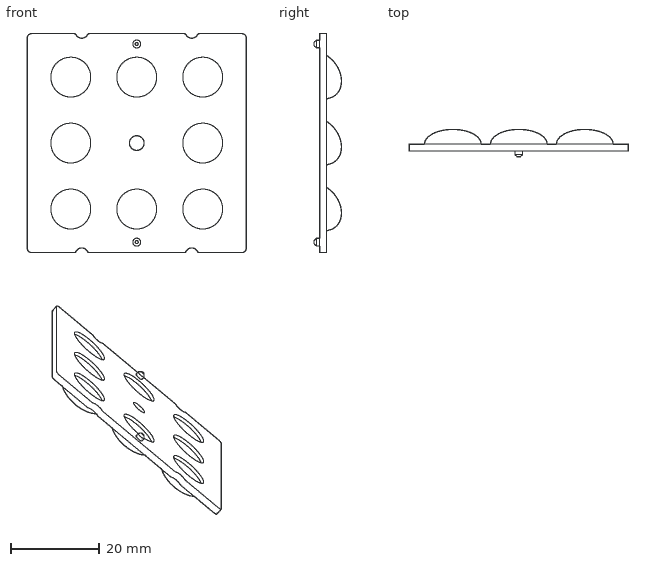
import cadquery as cq
import math

plate_side = 49.8
plate_thickness = 1.6
corner_radius = 1.0
center_hole_diameter = 3.3

notch_offset = 12.5
notch_radius = 1.5
notch_depth = 1.05
notch_lip_radius = 0.4

lens_pitch = 15.0
pocket_diameter = 9.05
pocket_depth = 0.8
dome_height = 3.4
dome_half_width = 6.45
dome_half_length = 5.0
dome_lean = 0.9
dome_taper_offset = 1.85
dome_ring_count = 8

peg_offset = 22.5
peg_radius = 0.9
peg_tip_radius = 0.35
peg_height = 1.3
peg_taper = peg_radius - peg_tip_radius

half_side = plate_side / 2
lens_positions = [
    (column * lens_pitch, row * lens_pitch)
    for column in (-1, 0, 1)
    for row in (-1, 0, 1)
    if (column, row) != (0, 0)
]


def back_facing_plane(y, z=0):
    """Plane through (0, y, z) with local x = X, local y = -Z and its normal along +Y."""
    return cq.Plane(origin=(0, y, z), xDir=(1, 0, 0), normal=(0, 1, 0))


def make_notch():
    """Cutter for a top-edge notch: a round bottom flowing into the edge through rounded lips."""
    center_z = half_side + notch_radius - notch_depth
    lip_center_z = half_side - notch_lip_radius
    center_distance = notch_radius + notch_lip_radius
    lip_x = math.sqrt(center_distance**2 - (center_z - lip_center_z) ** 2)
    sweep = math.asin(lip_x / center_distance)
    tangent_x = notch_radius * math.sin(sweep)
    tangent_z = center_z - notch_radius * math.cos(sweep)
    lip_mid_x = lip_x - notch_lip_radius * math.sin(sweep / 2)
    lip_mid_z = lip_center_z + notch_lip_radius * math.cos(sweep / 2)
    return (
        cq.Workplane("XZ")
        .moveTo(-lip_x, half_side)
        .threePointArc((-lip_mid_x, lip_mid_z), (-tangent_x, tangent_z))
        .threePointArc((0, half_side - notch_depth), (tangent_x, tangent_z))
        .threePointArc((lip_mid_x, lip_mid_z), (lip_x, half_side))
        .close()
        .extrude(-plate_thickness)
    )


def make_plate():
    plate = (
        cq.Workplane(back_facing_plane(0))
        .rect(plate_side, plate_side)
        .extrude(plate_thickness)
        .edges("|Y")
        .fillet(corner_radius)
    )
    notch = make_notch()
    for x in (-notch_offset, notch_offset):
        top_notch = notch.translate((x, 0, 0))
        plate = plate.cut(top_notch).cut(top_notch.mirror("XY"))
    hole_outline = cq.Workplane(back_facing_plane(0)).circle(center_hole_diameter / 2)
    center_hole = hole_outline.extrude(plate_thickness)
    return plate.cut(center_hole)


def make_dome():
    """Smooth leaning dome, lofted through elliptical rings from the base up to a single peak point."""
    taper_span = (dome_height + dome_taper_offset) ** 2 - dome_taper_offset**2
    rings = []
    for ring in range(dome_ring_count):
        angle = math.pi / 2 * ring / dome_ring_count
        height = dome_height * math.sin(angle)
        taper = ((height + dome_taper_offset) ** 2 - dome_taper_offset**2) / taper_span
        half_width = dome_half_width * math.cos(angle)
        half_length = dome_half_length * math.sqrt(1 - taper)
        center_z = -dome_lean * height / dome_height
        ring_plane = back_facing_plane(plate_thickness + height, z=center_z)
        rings.append(cq.Workplane(ring_plane).ellipse(half_width, half_length).wire().val())
    peak = cq.Vertex.makeVertex(0, plate_thickness + dome_height, -dome_lean)
    return cq.Workplane(cq.occ_impl.shapes.loft(rings + [peak], cap=True))


def make_pocket():
    """Cutter for the round blind pocket in front of a dome."""
    return cq.Workplane(back_facing_plane(0)).circle(pocket_diameter / 2).extrude(pocket_depth)


def make_peg():
    """Round peg with a conical tip, pointing towards -Y."""
    return (
        cq.Workplane("XZ")
        .circle(peg_radius)
        .extrude(peg_height)
        .faces("<Y")
        .chamfer(peg_taper)
    )


result = make_plate()
dome = make_dome()
pocket = make_pocket()
for x, z in lens_positions:
    result = result.union(dome.translate((x, 0, z))).cut(pocket.translate((x, 0, z)))

peg = make_peg()
for z in (-peg_offset, peg_offset):
    result = result.union(peg.translate((0, 0, z)))